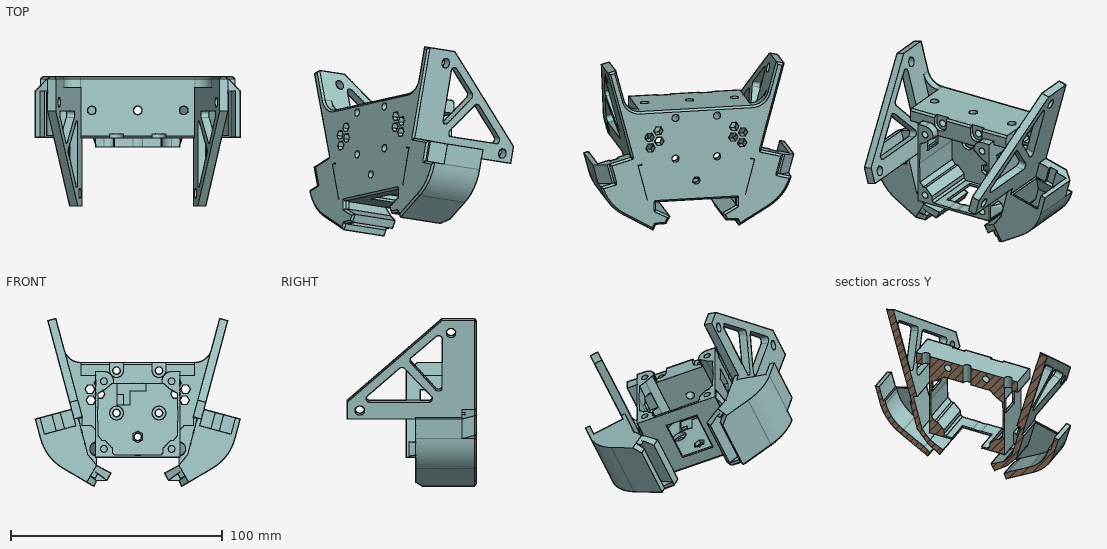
import cadquery as cq
import math


OVERALL_WIDTH = 96.8
REAR_CHAMFER = 1.0
PLATE_DEPTH = 5.0
LOWER_PLATE_DEPTH = 3.0
PLATE_STEP_Z = -4.9
PLATE_STEP_CHAMFER = 1.9
PLATE_STEP_X = 19.9
PLATE_BOTTOM_Z = -19.6
PLATE_FOOT_X = 19.5
PLATE_FOOT_Z = -22.0
CORNER_RADIUS = 8.0

WING_TILT = math.radians(15)
WING_THICKNESS = 4.0
DUCT_OUTER = -21.7
DUCT_TOP = 4.7
WING_FOOT_X = OVERALL_WIDTH / 2 + DUCT_OUTER * math.cos(WING_TILT) - DUCT_TOP * math.sin(WING_TILT)
WING_FOOT_Z = -0.82
WING_LENGTH = 48.1
WING_REACH = 61.1
WING_TOP_DEPTH = 16.3
WING_NOSE_HEIGHT = 8.1
WING_OVERLAP = 1.0
WING_HOLE_DIAMETER = 4.5
WING_HOLES = [(12.0, 42.0), (55.1, 4.1)]
WING_WINDOW_FILLET = 1.7
UPPER_WINDOW = [(16.2, 42.8), (16.2, 10.7), (32.1, 28.7)]
LOWER_WINDOW = [(35.0, 25.8), (18.6, 8.1), (54.9, 8.1)]

SLAB_HALF_WIDTH = 26.8
SLAB_DEPTH = 28.9
SLAB_TOP = 24.9
SLAB_BOTTOM = 18.7
SLAB_CHAMFER = 1.0
SLAB_HOLE_DIAMETER = 4.0
SLAB_HOLE_PITCH = 21.7
SLAB_HOLE_DEPTH = 15.9

SCREW_PITCH = 20.0
SCREW_X = SCREW_PITCH / 2
UPPER_SCREW_Z = 21.0
MIDDLE_SCREW_Z = UPPER_SCREW_Z - SCREW_PITCH
LOWER_SCREW_Z = -10.3
SCREW_DIAMETER = 3.4
SCREW_HEAD_DIAMETER = 6.5
SCREW_HEAD_DEPTH = 1.9
NUT_CORNERS = 5.4

FAN_HALF_WIDTH = 19.9
FAN_FRONT = 33.2
FAN_FLANGE_BACK = 26.4
FAN_HOLE_OFFSET = 16.0
FAN_HOLE_DIAMETER = 3.2
FAN_HOLE_DEPTH = 5.8
FAN_TAB_RADIUS = 4.55
FAN_TAB_TOP = 20.5
ROOF_Z = 15.0
OPENING_EDGE = [
    (-12.1, ROOF_Z),
    (-15.6, 12.0),
    (-18.7, 10.3),
    (-19.0, 0),
    (-18.7, -9.8),
    (-16.8, -11.9),
    (-15.6, -11.9),
    (-12.0, -15.6),
    (-12.0, -17.7),
    (-11.0, -18.8),
]
SIDE_WINDOW_BACK = 17.4
SIDE_WINDOW_BOTTOM = 3.9
SIDE_WINDOW_TOP = 11.9
FLOOR_SLOT_HALF_WIDTH = 7.7
FLOOR_SLOT_BACK = 6.8
FLOOR_SLOT_FRONT = 26.8
FLOOR_GROOVE_RADIUS = 9.1
GROOVE_FLOOR_Z = -19.1
BULGE_RADIUS = 3.4
BULGE_BACK = 25.2
BULGE_FRONT = 31.9
BULGE_BACK_X = 19.3
BULGE_FRONT_X = FAN_HALF_WIDTH - BULGE_RADIUS

DUCT_DEPTH = 28.6
DUCT_WALL = 3.4
DUCT_FRONT_WALL = 1.0
DUCT_INNER = -1.9
DUCT_BEND = -4.8
DUCT_TURN = math.radians(45)
BEND_RADIUS = 23.3
NOZZLE_AIM = math.radians(30)
SOCKET_OUTER = -19.4
SOCKET_BACK = 6.8
SOCKET_FLOOR = -3.3
SOCKET_LEDGE = 1.0
GROOVE_OUTER = -13.55
GROOVE_WIDTH = 4.1
GROOVE_DEPTH = 1.5
NOZZLE_SPLIT = 5.8
UPPER_LIP_REACH = 7.7
LOWER_LIP_REACH = 3.7
LIP_BEVEL = 3.0
CAVITY_BACK = 2.4
CAVITY_RAMP = 8.7

NOZZLE_ROOT = (-19.5, -23.7)
DUCT_KNEE = (-23.6, -18.6)
CAVITY_KNEE = (-26.3, -19.6)
UPPER_LIP = [(-12.6, -27.4), (-14.5, -30.9)]
LIP_NOTCH = (-19.5, -31.0)
LOWER_LIP = (-20.7, -33.7)
MOUTH_TOP = (-20.9, -26.1)
MOUTH_BOTTOM = (-22.5, -28.6)

VENT_CORNERS = 4.5
VENT_START = (-22.55, 12.2)
VENT_PITCH = 5.2
VENT_ANGLE = math.radians(-85)
POCKET_LEFT = -9.9
POCKET_RIGHT = 3.9
POCKET_LEG_RIGHT = -3.8
POCKET_ARM_BOTTOM = 11.3
POCKET_BOTTOM = 4.8
POCKET_INNER_RIGHT = -6.8
POCKET_INNER_TOP = 9.8
POCKET_DEPTH = 1.5
POCKET_INNER_DEPTH = 2.9

WING_PLANE = cq.Plane(
    origin=(-WING_FOOT_X, 0, WING_FOOT_Z),
    xDir=(0, -1, 0),
    normal=(-math.cos(WING_TILT), 0, -math.sin(WING_TILT)),
)


def tilted(across, along):
    """X, Z of a point given across and along the left wing, from its inner foot."""
    x = -WING_FOOT_X + across * math.cos(WING_TILT) - along * math.sin(WING_TILT)
    z = WING_FOOT_Z + across * math.sin(WING_TILT) + along * math.cos(WING_TILT)
    return x, z


def prism(points, back, front):
    """Prism with an X-Z outline between two depths."""
    return cq.Workplane("XZ", origin=(0, -back, 0)).polyline(points).close().extrude(front - back)


def block(x0, x1, z0, z1, back, front):
    return prism([(x0, z0), (x1, z0), (x1, z1), (x0, z1)], back, front)


def tilted_block(across0, across1, along0, along1, back, front):
    corners = [(across0, along0), (across1, along0), (across1, along1), (across0, along1)]
    return prism([tilted(*corner) for corner in corners], back, front)


def drill(points, diameter, back, front):
    """Round bars along Y, for cutting holes or adding bosses."""
    plane = cq.Workplane("XZ", origin=(0, -back, 0))
    return plane.pushPoints(points).circle(diameter / 2).extrude(front - back)


def both_sides(left):
    """A left-hand body together with its mirror image."""
    return left.union(left.mirror("YZ"))


def make_wing():
    """Left wing with its two triangular windows and two holes."""
    outline = [
        (0, 0),
        (0, WING_LENGTH),
        (WING_TOP_DEPTH, WING_LENGTH),
        (WING_REACH, WING_NOSE_HEIGHT),
        (WING_REACH, 0),
    ]
    wing = cq.Workplane(WING_PLANE).polyline(outline).close().extrude(WING_THICKNESS)
    for window in (UPPER_WINDOW, LOWER_WINDOW):
        cutter = cq.Workplane(WING_PLANE).polyline(window).close().extrude(WING_THICKNESS)
        axis = cq.selectors.ParallelDirSelector(WING_PLANE.zDir)
        wing = wing.cut(cutter.edges(axis).fillet(WING_WINDOW_FILLET))
    holes = cq.Workplane(WING_PLANE).pushPoints(WING_HOLES).circle(WING_HOLE_DIAMETER / 2)
    return wing.cut(holes.extrude(WING_THICKNESS))


def make_plate():
    """Rear plate: thick upper web with rounded corners at the wings and a thin lower web."""
    corner_along = (SLAB_TOP - WING_FOOT_Z) / math.cos(WING_TILT)
    corner_x = tilted(0, corner_along)[0]
    tangent = CORNER_RADIUS * math.tan(math.pi / 4 - WING_TILT / 2)
    arc_start = (corner_x + tangent, SLAB_TOP)
    arc_end = tilted(0, corner_along + tangent)
    upper = (
        cq.Workplane("XZ")
        .moveTo(0, SLAB_TOP)
        .lineTo(*arc_start)
        .tangentArcPoint(arc_end, relative=False)
        .lineTo(*tilted(-WING_OVERLAP, corner_along))
        .lineTo(*tilted(-WING_OVERLAP, 0))
        .lineTo(-WING_FOOT_X, WING_FOOT_Z)
        .lineTo(-WING_FOOT_X, PLATE_STEP_Z)
        .lineTo(-PLATE_STEP_X - PLATE_STEP_CHAMFER, PLATE_STEP_Z)
        .lineTo(-PLATE_STEP_X, PLATE_STEP_Z - PLATE_STEP_CHAMFER)
        .lineTo(0, PLATE_STEP_Z - PLATE_STEP_CHAMFER)
        .close()
        .extrude(PLATE_DEPTH)
    )
    lower = prism(
        [
            (0, 0),
            tilted(DUCT_INNER, 0),
            DUCT_KNEE,
            NOZZLE_ROOT,
            (-PLATE_FOOT_X, PLATE_FOOT_Z),
            (-PLATE_FOOT_X, PLATE_BOTTOM_Z),
            (0, PLATE_BOTTOM_Z),
        ],
        0,
        LOWER_PLATE_DEPTH,
    )
    middle = block(-FAN_HALF_WIDTH, 0, PLATE_BOTTOM_Z, 0, 0, PLATE_DEPTH)
    return upper.union(lower).union(middle)


def bend(offset):
    """Start and end of the duct's outer bend, moved inward by offset."""
    start = tilted(DUCT_OUTER + offset, DUCT_BEND)
    radius = BEND_RADIUS - offset
    chord = 2 * radius * math.sin(DUCT_TURN / 2)
    chord_angle = NOZZLE_AIM + DUCT_TURN / 2
    end = (start[0] + chord * math.cos(chord_angle), start[1] - chord * math.sin(chord_angle))
    return start, end


def make_duct():
    """Solid left duct with its curved belly and nozzle lips."""
    start, end = bend(0)
    body = (
        cq.Workplane("XZ")
        .moveTo(*tilted(DUCT_INNER, DUCT_TOP))
        .lineTo(*tilted(DUCT_OUTER, DUCT_TOP))
        .lineTo(*start)
        .tangentArcPoint(end, relative=False)
        .lineTo(*LOWER_LIP)
        .lineTo(*LIP_NOTCH)
        .lineTo(*UPPER_LIP[1])
        .lineTo(*UPPER_LIP[0])
        .lineTo(*NOZZLE_ROOT)
        .lineTo(*DUCT_KNEE)
        .close()
        .extrude(DUCT_DEPTH)
    )

    aim = (math.cos(NOZZLE_AIM), 0, -math.sin(NOZZLE_AIM))
    side = (-math.sin(NOZZLE_AIM), 0, -math.cos(NOZZLE_AIM))
    split = (
        NOZZLE_ROOT[0] + side[0] * NOZZLE_SPLIT,
        0,
        NOZZLE_ROOT[1] + side[2] * NOZZLE_SPLIT,
    )
    bevel_plane = cq.Plane(origin=split, xDir=aim, normal=side)
    for reach, width in ((UPPER_LIP_REACH, -2 * NOZZLE_SPLIT), (LOWER_LIP_REACH, 2 * NOZZLE_SPLIT)):
        bevel = cq.Workplane(bevel_plane).polyline(
            [(0, DUCT_DEPTH), (2 * reach, DUCT_DEPTH), (2 * reach, DUCT_DEPTH - 2 * LIP_BEVEL)]
        )
        body = body.cut(bevel.close().extrude(width))
    return body


def cut_duct(body):
    """Blower socket, its key groove and the air passage to the nozzle."""
    bend_x, bend_z = tilted(DUCT_OUTER, DUCT_BEND)
    bevel_plane = cq.Plane(
        origin=(bend_x, 0, bend_z),
        xDir=(math.cos(WING_TILT), 0, math.sin(WING_TILT)),
        normal=(-math.sin(WING_TILT), 0, math.cos(WING_TILT)),
    )
    bevel = cq.Workplane(bevel_plane).polyline([(0, 0), (SOCKET_BACK, 0), (0, -SOCKET_BACK)])
    body = body.cut(bevel.close().extrude(DUCT_TOP - DUCT_BEND))

    socket = tilted_block(
        SOCKET_OUTER, -WING_THICKNESS, SOCKET_FLOOR, DUCT_TOP, SOCKET_BACK, DUCT_DEPTH
    )
    groove = tilted_block(
        GROOVE_OUTER, GROOVE_OUTER + GROOVE_WIDTH, SOCKET_FLOOR, DUCT_TOP,
        SOCKET_BACK - GROOVE_DEPTH, SOCKET_BACK,
    )
    start, end = bend(DUCT_WALL)
    cavity = (
        cq.Workplane("XZ", origin=(0, -CAVITY_BACK, 0))
        .moveTo(*tilted(-WING_THICKNESS - SOCKET_LEDGE, SOCKET_FLOOR))
        .lineTo(*tilted(DUCT_OUTER + DUCT_WALL, SOCKET_FLOOR))
        .lineTo(*start)
        .tangentArcPoint(end, relative=False)
        .lineTo(*MOUTH_BOTTOM)
        .lineTo(*LIP_NOTCH)
        .lineTo(*UPPER_LIP[1])
        .lineTo(*MOUTH_TOP)
        .lineTo(*CAVITY_KNEE)
        .close()
        .extrude(DUCT_DEPTH - DUCT_FRONT_WALL - CAVITY_BACK)
    )

    ledge_depth = SOCKET_BACK + SOCKET_LEDGE
    ramp_end = SOCKET_FLOOR - CAVITY_RAMP
    ramp = cq.Workplane(WING_PLANE).polyline(
        [(0, 0), (ledge_depth, 0), (ledge_depth, SOCKET_FLOOR), (CAVITY_BACK, ramp_end), (0, ramp_end)]
    )
    cavity = cavity.cut(ramp.close().extrude(-DUCT_OUTER))
    return body.cut(socket).cut(groove).cut(cavity)


def make_slab():
    slab = block(-SLAB_HALF_WIDTH, SLAB_HALF_WIDTH, SLAB_BOTTOM, SLAB_TOP, 0, SLAB_DEPTH)
    return slab.faces("<Y").edges(">Z").chamfer(SLAB_CHAMFER)


def make_shroud():
    """Fan box: square flange, side walls, roof and floor around an eight-sided opening."""
    half = FAN_HALF_WIDTH
    box = block(-half, half, -half, ROOF_Z, 0, FAN_FRONT)
    roof = block(-half, half, ROOF_Z, SLAB_BOTTOM, 0, SLAB_DEPTH)
    side_tab = block(-half, -FAN_HOLE_OFFSET, ROOF_Z, FAN_TAB_TOP, SLAB_DEPTH, FAN_FRONT)
    round_tab = drill([(-FAN_HOLE_OFFSET, FAN_HOLE_OFFSET)], 2 * FAN_TAB_RADIUS, SLAB_DEPTH, FAN_FRONT)
    outside = block(-2 * half, -half, 0, half * 2, SLAB_DEPTH, FAN_FRONT)
    tab = side_tab.union(round_tab).cut(outside)

    bulge = (
        cq.Workplane("XZ", origin=(0, -BULGE_BACK, 0))
        .center(-BULGE_BACK_X, -FAN_HOLE_OFFSET)
        .circle(BULGE_RADIUS)
        .workplane(offset=BULGE_FRONT - BULGE_BACK)
        .center(BULGE_BACK_X - BULGE_FRONT_X, 0)
        .rect(2 * BULGE_RADIUS, 2 * BULGE_RADIUS)
        .loft()
    )
    shroud = box.union(roof).union(both_sides(tab)).union(both_sides(bulge))

    right_edge = [(-x, z) for x, z in reversed(OPENING_EDGE)]
    shroud = shroud.cut(prism(OPENING_EDGE + right_edge, PLATE_DEPTH, FAN_FRONT))

    shroud = shroud.cut(
        block(-half, half, SIDE_WINDOW_BOTTOM, SIDE_WINDOW_TOP, SIDE_WINDOW_BACK, FAN_FLANGE_BACK)
    )
    slot = FLOOR_SLOT_HALF_WIDTH
    shroud = shroud.cut(block(-slot, slot, -half, -half / 2, FLOOR_SLOT_BACK, FLOOR_SLOT_FRONT))

    groove_z = GROOVE_FLOOR_Z + FLOOR_GROOVE_RADIUS
    shroud = shroud.cut(
        drill([(0, groove_z)], 2 * FLOOR_GROOVE_RADIUS, FLOOR_SLOT_FRONT, FAN_FRONT)
    )
    return shroud


def cut_screws(body):
    """Carriage screw holes with head seats above and a nut seat below."""
    upper = [(-SCREW_X, UPPER_SCREW_Z), (SCREW_X, UPPER_SCREW_Z)]
    middle = [(-SCREW_X, MIDDLE_SCREW_Z), (SCREW_X, MIDDLE_SCREW_Z)]
    lower = [(0, LOWER_SCREW_Z)]
    body = body.cut(drill(upper, SCREW_DIAMETER, 0, SLAB_DEPTH))
    body = body.cut(drill(middle + lower, SCREW_DIAMETER, 0, PLATE_DEPTH))

    slab_seat = SLAB_DEPTH - SCREW_HEAD_DEPTH
    plate_seat = PLATE_DEPTH - SCREW_HEAD_DEPTH
    body = body.cut(drill(upper, SCREW_HEAD_DIAMETER, slab_seat, SLAB_DEPTH))
    for x, z in upper:
        radius = SCREW_HEAD_DIAMETER / 2
        body = body.cut(block(x - radius, x + radius, z, SLAB_TOP, slab_seat, SLAB_DEPTH))
    body = body.cut(drill(middle, SCREW_HEAD_DIAMETER, plate_seat, PLATE_DEPTH))
    nut = cq.Workplane("XZ", origin=(0, -plate_seat, 0)).center(0, LOWER_SCREW_Z)
    nut = nut.transformed(rotate=(0, 0, 30)).polygon(6, NUT_CORNERS)
    return body.cut(nut.extrude(SCREW_HEAD_DEPTH))


def cut_fan_holes(body):
    offset = FAN_HOLE_OFFSET
    points = [(x, z) for x in (-offset, offset) for z in (-offset, offset)]
    return body.cut(drill(points, FAN_HOLE_DIAMETER, FAN_FRONT - FAN_HOLE_DEPTH, FAN_FRONT))


def cut_vents(body):
    """Two columns of two hexagonal vents on each side of the rear plate."""
    step_angle = VENT_ANGLE + math.radians(60)
    points = []
    for column in range(2):
        for row in (-column, 1 - column):
            x = (math.cos(VENT_ANGLE) * row + math.cos(step_angle) * column) * VENT_PITCH
            z = (math.sin(VENT_ANGLE) * row + math.sin(step_angle) * column) * VENT_PITCH
            points.append((VENT_START[0] + x, VENT_START[1] + z))
    vents = cq.Workplane("XZ").pushPoints(points).polygon(6, VENT_CORNERS).extrude(PLATE_DEPTH)
    return body.cut(both_sides(vents))


def cut_slab_holes(body):
    for i, floor in ((-1, SLAB_BOTTOM), (0, ROOF_Z), (1, SLAB_BOTTOM)):
        hole = cq.Workplane("XY", origin=(i * SLAB_HOLE_PITCH, -SLAB_HOLE_DEPTH, floor))
        body = body.cut(hole.circle(SLAB_HOLE_DIAMETER / 2).extrude(SLAB_TOP - floor))
    return body


def cut_pocket(body):
    """L-shaped pocket in the rear plate, deeper in the outer half of its leg."""
    outline = [
        (POCKET_LEFT, ROOF_Z),
        (POCKET_RIGHT, ROOF_Z),
        (POCKET_RIGHT, POCKET_ARM_BOTTOM),
        (POCKET_LEG_RIGHT, POCKET_ARM_BOTTOM),
        (POCKET_LEG_RIGHT, POCKET_BOTTOM),
        (POCKET_LEFT, POCKET_BOTTOM),
    ]
    body = body.cut(prism(outline, PLATE_DEPTH - POCKET_DEPTH, PLATE_DEPTH))
    inner = block(
        POCKET_LEFT, POCKET_INNER_RIGHT, POCKET_BOTTOM, POCKET_INNER_TOP,
        PLATE_DEPTH - POCKET_INNER_DEPTH, PLATE_DEPTH,
    )
    return body.cut(inner)


def chamfer_rear(body):
    """Bevel the whole outline of the rear face."""
    outline = body.faces(">Y").val().outerWire()
    outline = outline.translate(cq.Vector(0, -REAR_CHAMFER, 0))
    rear_plane = cq.Workplane("ZX", origin=(0, -REAR_CHAMFER, 0))
    bevelled = rear_plane.add(outline).toPending().extrude(REAR_CHAMFER, taper=45)
    size = 2 * WING_REACH
    front_part = block(-size, size, -size, size, REAR_CHAMFER, size)
    return body.intersect(front_part.union(bevelled))


left = make_plate().union(make_wing()).union(make_duct())
body = both_sides(cut_duct(left))
body = body.union(make_slab()).union(make_shroud())
body = chamfer_rear(body)
body = cut_screws(body)
body = cut_fan_holes(body)
body = cut_vents(body)
body = cut_slab_holes(body)
result = cut_pocket(body)